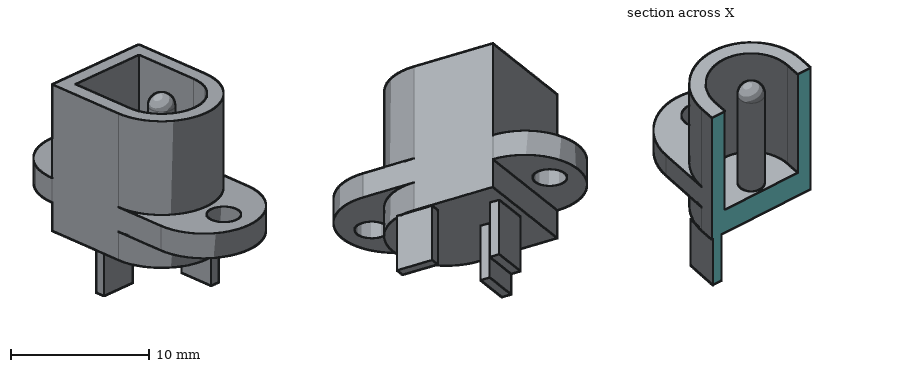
import cadquery as cq

flange_length = 20.0
width = 9.0
flange_thickness = 2.0
flange_bottom = 2.3
hole_diameter = 2.5
left_hole_x = -7.6
right_hole_x = 7.5

overall_height = 16.4
terminal_length = 4.5
body_height = overall_height - terminal_length
end_radius = width / 2
body_left = -(flange_length / 2 - end_radius)
arc_center_x = 1.2
wall = 1.2
cavity_depth = 9.6

contact_radius = 1.0

terminal_thickness = 0.8
terminal_width = 3.0
outer_terminal_x = -4.5
inner_terminal_x = -2.1
outer_terminal_y = 1.12
inner_terminal_y = -1.5
side_terminal_x = 1.2
side_terminal_y = 4.0


def d_prism(left, radius, bottom, height):
    """Prism with a flat left side and a half-round right side."""
    return (
        cq.Workplane("XY", origin=(0, 0, bottom))
        .moveTo(left, -radius)
        .lineTo(arc_center_x, -radius)
        .threePointArc((arc_center_x + radius, 0), (arc_center_x, radius))
        .lineTo(left, radius)
        .close()
        .extrude(height)
    )


def make_flange():
    return (
        cq.Workplane("XY", origin=(0, 0, flange_bottom))
        .slot2D(flange_length, width)
        .extrude(flange_thickness)
        .pushPoints([(left_hole_x, 0), (right_hole_x, 0)])
        .circle(hole_diameter / 2)
        .cutThruAll()
    )


def make_contact():
    floor = body_height - cavity_depth
    dome_center = body_height - contact_radius
    shaft = (
        cq.Workplane("XY", origin=(arc_center_x, 0, floor))
        .circle(contact_radius)
        .extrude(dome_center - floor)
    )
    dome = cq.Workplane("XY", origin=(arc_center_x, 0, dome_center)).sphere(contact_radius)
    return shaft.union(dome)


def make_terminal(x, y, size_x, size_y):
    return (
        cq.Workplane("XY", origin=(x, y, 0))
        .rect(size_x, size_y)
        .extrude(-terminal_length)
    )


shell = d_prism(body_left, end_radius, 0, body_height)
cavity = d_prism(body_left + wall, end_radius - wall, body_height - cavity_depth, cavity_depth)

result = shell.union(make_flange()).cut(cavity).union(make_contact())

terminals = [
    (outer_terminal_x, outer_terminal_y, terminal_thickness, terminal_width),
    (inner_terminal_x, inner_terminal_y, terminal_thickness, terminal_width),
    (side_terminal_x, side_terminal_y, terminal_width, terminal_thickness),
]
for terminal in terminals:
    result = result.union(make_terminal(*terminal))